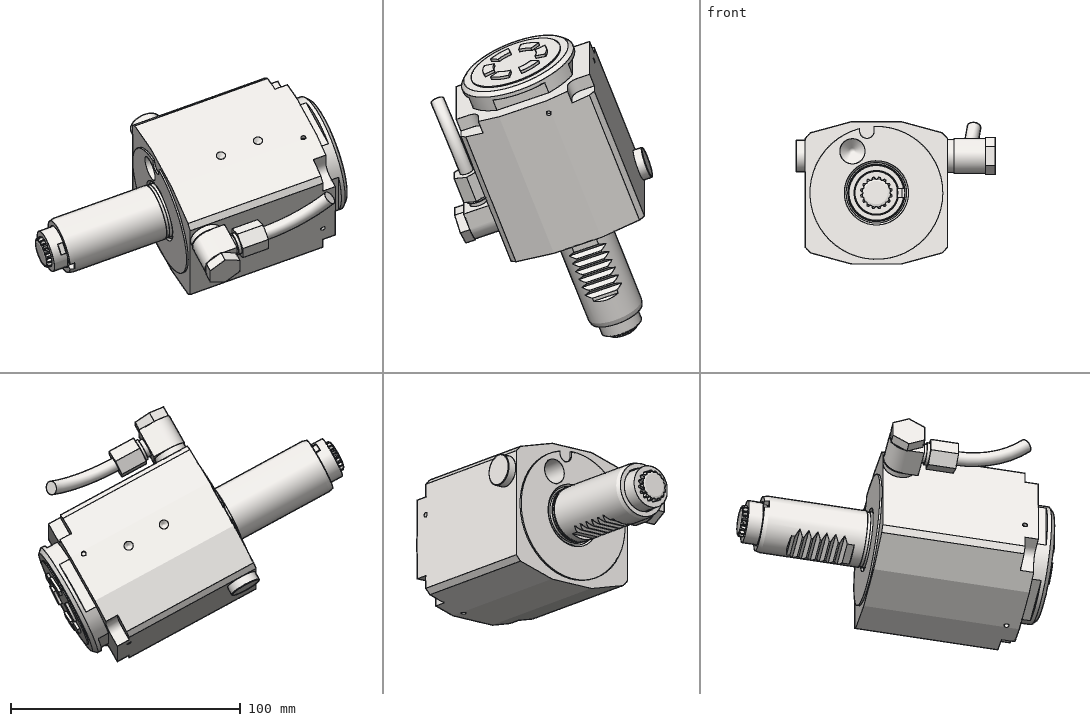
import cadquery as cq
import math


BODY_HALF = 31.0
BODY_LENGTH = 69.1
CREST_HALF = 11.0
SLOPE_END_X, SLOPE_END_Z = 28.7, 26.2
SIDE_HALF = 23.7
CORNER_DEPTH = 5.9
CORNER_FLOOR = 18.0
CORNER_WALL = 20.7
CORNER_RADIUS = 4.7

DISC_RADIUS = 29.0
DISC_THICKNESS = 0.8
NOTCH_WIDTH = 6.3
NOTCH_X = -4.1
NOTCH_BOTTOM = 23.7
BLIND_DIAMETER = 11.0
BLIND_X, BLIND_Z = -10.4, 18.1
BLIND_DEPTH = 13.7
RECESS_OUTER, RECESS_INNER = 14.0, 13.2

CONE_ANGLE = 90.0
DIMPLE_DIAMETER = 4.0
DIMPLES = [(3.4, 44.5), (4.3, 26.5)]
MARK_DIAMETER = 2.0
MARK_DEPTH = 2.0
MARK_OFFSET = 9.9
MARK_Y = 63.2

NECK_RADIUS = 12.1
SHANK_RADIUS = 12.5
SHANK_END_RADIUS = 12.0
SEAL_RADIUS = 12.3
SEAL_END = -1.5
NECK_END = -2.9
SHANK_TAPER = -46.6
SHANK_END = -48.7
RACK_START, RACK_END = -7.5, -36.2
RACK_FLAT = 11.1
RACK_DEPTH = 1.9
RACK_PITCH = 4.0
RACK_FIRST = -12.3
RACK_NOTCHES = 6
RACK_NOTCH_HALF = 1.6
RACK_RUNOUT = 0.8

NOSE_RADIUS = 9.3
NOSE_END = -55.0
NOSE_FLAT = 9.0
BORE_RADIUS = 9.7
BORE_DEPTH = 2.5
KEYWAY_WIDTH = 3.8
KEYWAY_STEP = 11.1
KEYWAY_OUTER_DEPTH = 2.0
KEYWAY_INNER_DEPTH = 4.1
POCKET_WIDTH = 5.0
POCKET_DEPTH = 0.8
POCKET_LENGTH = 2.5
POCKET_ANGLE = 48.0
TIP = -57.6
SPLINE_TEETH = 16
SPLINE_RADIUS = 13.9 / 2
SPLINE_ROOT = 5.9
SPLINE_SHOULDER_RADIUS = 6.2
SPLINE_FACE_RADIUS = 5.1
SPLINE_CHAMFER_START = -56.6
SPLINE_CHAMFER_END = -57.3

FLANGE_RADIUS = 52.0 / 2
FLANGE_CHAMFER = 1.8
FLANGE_BACK = 77.8
FLANGE_STEP_RADIUS = 20.7
FLANGE_FACE = 78.3
FLAT_DISTANCE = 23.0
FLAT_END = 74.2
PAD_COUNT = 6
PAD_INNER, PAD_OUTER = 10.0, 14.8
PAD_HALF_ANGLE = 19.0
PAD_BACK = 79.5

FITTING_Y, FITTING_Z = 7.4, 16.0
CAP_DIAMETER = 13.9
CAP_END = -35.0
CAP_CHAMFER = 0.3
COLLAR_DIAMETER = 14.5
COLLAR_END = 33.9
ELBOW_RADIUS = 7.7
ELBOW_END = 47.5
PLUG_ACROSS_FLATS = 14.1
PLUG_END = 51.8
OUTLET_X = 40.3
OUTLET_DIAMETER = 8.2
OUTLET_RING_DIAMETER = 9.7
RING_START, NUT_START, NUT_END = 17.0, 18.4, 30.6
NUT_ACROSS_FLATS = 11.7

HOSE_DIAMETER = 6.0
HOSE_BEND_RADIUS = 43.5
HOSE_BEND_ANGLE = 45.0
HOSE_LEAN = 10.0

OVERLAP = 1.4


def bar_y(start, end, x=0.0, z=0.0):
    """Workplane at the larger Y, whose normal points to -Y, and the length down to the smaller Y."""
    return cq.Workplane("XZ", origin=(x, max(start, end), z)), abs(end - start)


def cylinder_y(radius, start, end, x=0.0, z=0.0):
    plane, length = bar_y(start, end, x, z)
    return plane.circle(radius).extrude(length)


def cylinder_x(radius, start, end):
    plane = cq.Workplane("YZ", origin=(start, FITTING_Y, FITTING_Z))
    return plane.circle(radius).extrude(end - start)


def revolve_y(profile):
    """Turn a (radius, y) profile around the spindle axis."""
    return cq.Workplane("XY").polyline(profile).close().revolve(360, (0, 0, 0), (0, 1, 0))


def cone_hole(diameter, depth=0.0):
    """Blind hole tool along +Z: straight down to the depth, then a cone to a point."""
    radius = diameter / 2
    cone = radius / math.tan(math.radians(CONE_ANGLE / 2))
    profile = [(0, -OVERLAP), (radius, -OVERLAP), (radius, depth), (0, depth + cone)]
    return cq.Workplane("XZ").polyline(profile).close().revolve(360, (0, 0, 0), (0, 1, 0))


def quarter_turns(shape):
    """Four copies of a shape spaced evenly around the spindle axis."""
    return [shape.rotate((0, 0, 0), (0, 1, 0), 90 * turn) for turn in range(4)]


def hexagon_circle(across_flats):
    return across_flats / math.cos(math.radians(30))


def make_body():
    corner = [
        (CREST_HALF, BODY_HALF),
        (SLOPE_END_X, SLOPE_END_Z),
        (BODY_HALF, SIDE_HALF),
    ]
    right = corner + [(x, -z) for x, z in reversed(corner)]
    left = [(-x, -z) for x, z in right]
    plane, length = bar_y(0, BODY_LENGTH)
    body = plane.polyline(right + left).close().extrude(length)

    plane, length = bar_y(BODY_LENGTH - CORNER_DEPTH, BODY_LENGTH + OVERLAP)
    outside = 2 * BODY_HALF
    corner_cut = (
        plane.moveTo(CORNER_WALL, outside)
        .lineTo(CORNER_WALL, CORNER_FLOOR + CORNER_RADIUS)
        .radiusArc((CORNER_WALL + CORNER_RADIUS, CORNER_FLOOR), -CORNER_RADIUS)
        .lineTo(outside, CORNER_FLOOR)
        .lineTo(outside, outside)
        .close()
        .extrude(length)
    )
    mirrored = corner_cut.mirror("YZ")
    for tool in (corner_cut, mirrored, corner_cut.mirror("XY"), mirrored.mirror("XY")):
        body = body.cut(tool)
    return body


def make_front_disc():
    disc = cylinder_y(DISC_RADIUS, OVERLAP, -DISC_THICKNESS)
    plane, length = bar_y(0, -DISC_THICKNESS - OVERLAP, NOTCH_X)
    radius = NOTCH_WIDTH / 2
    center_z = NOTCH_BOTTOM + radius
    notch = (
        plane.moveTo(-radius, DISC_RADIUS + OVERLAP)
        .lineTo(-radius, center_z)
        .threePointArc((0, NOTCH_BOTTOM), (radius, center_z))
        .lineTo(radius, DISC_RADIUS + OVERLAP)
        .close()
        .extrude(length)
    )
    return disc.cut(notch)


def cut_holes(part):
    for x, y in DIMPLES:
        dimple = cone_hole(DIMPLE_DIAMETER).rotate((0, 0, 0), (1, 0, 0), 180)
        part = part.cut(dimple.translate((x, y, BODY_HALF)))
    mark = cq.Workplane("XY", origin=(MARK_OFFSET, MARK_Y, BODY_HALF - MARK_DEPTH))
    mark = mark.circle(MARK_DIAMETER / 2).extrude(MARK_DEPTH + OVERLAP)
    for tool in quarter_turns(mark):
        part = part.cut(tool)
    blind = cone_hole(BLIND_DIAMETER, BLIND_DEPTH).rotate((0, 0, 0), (1, 0, 0), -90)
    part = part.cut(blind.translate((BLIND_X, -DISC_THICKNESS, BLIND_Z)))
    recess = revolve_y([
        (SEAL_RADIUS, 0),
        (RECESS_INNER, 0),
        (RECESS_OUTER, -DISC_THICKNESS),
        (SEAL_RADIUS, -DISC_THICKNESS),
    ])
    return part.cut(recess)


def make_shank():
    shank = revolve_y([
        (0, OVERLAP),
        (SEAL_RADIUS, OVERLAP),
        (SEAL_RADIUS, SEAL_END),
        (NECK_RADIUS, SEAL_END),
        (NECK_RADIUS, NECK_END),
        (SHANK_RADIUS, NECK_END),
        (SHANK_RADIUS, SHANK_TAPER),
        (SHANK_END_RADIUS, SHANK_END),
        (0, SHANK_END),
    ])
    outline = [(RACK_START, -SHANK_RADIUS - OVERLAP), (RACK_START, -RACK_FLAT)]
    for index in range(RACK_NOTCHES):
        y = RACK_FIRST - index * RACK_PITCH
        outline.append((y + RACK_NOTCH_HALF, -RACK_FLAT))
        outline.append((y, -RACK_FLAT + RACK_DEPTH))
        outline.append((y - RACK_NOTCH_HALF, -RACK_FLAT))
    outline += [
        (RACK_END + RACK_RUNOUT, -RACK_FLAT),
        (RACK_END, -SHANK_RADIUS),
        (RACK_END, -SHANK_RADIUS - OVERLAP),
    ]
    rack = cq.Workplane("YZ").polyline(outline).close().extrude(SHANK_RADIUS + OVERLAP, both=True)
    shank = shank.cut(rack)

    bore = cylinder_y(BORE_RADIUS, SHANK_END + BORE_DEPTH, SHANK_END - OVERLAP)
    shank = shank.cut(bore)
    keyway_steps = [
        (SHANK_RADIUS + OVERLAP, KEYWAY_OUTER_DEPTH),
        (KEYWAY_STEP, KEYWAY_INNER_DEPTH),
    ]
    for outer_x, depth in keyway_steps:
        slot = cq.Workplane("XY").box(
            outer_x - NOSE_FLAT, depth + OVERLAP, KEYWAY_WIDTH, centered=(False, False, True)
        )
        shank = shank.cut(slot.translate((NOSE_FLAT, SHANK_END - OVERLAP, 0)))
    return shank


def make_nose():
    nose = cylinder_y(NOSE_RADIUS, SHANK_TAPER + OVERLAP, NOSE_END)
    length = SHANK_END - NOSE_END
    flat = cq.Workplane("XY").box(OVERLAP, length, 2 * NOSE_RADIUS, centered=(False, False, True))
    nose = nose.cut(flat.translate((NOSE_FLAT, NOSE_END, 0)))
    pocket = cq.Workplane("XY").box(
        POCKET_DEPTH + OVERLAP, POCKET_LENGTH, POCKET_WIDTH, centered=(False, False, True)
    )
    pocket = pocket.translate((NOSE_RADIUS - POCKET_DEPTH, SHANK_END - POCKET_LENGTH, 0))
    return nose.cut(pocket.rotate((0, 0, 0), (0, 1, 0), -POCKET_ANGLE))


def make_spline():
    step = 2 * math.pi / SPLINE_TEETH
    tooth = [(0.1, SPLINE_ROOT), (0.38, SPLINE_RADIUS), (0.62, SPLINE_RADIUS), (0.9, SPLINE_ROOT)]
    outline = []
    for index in range(SPLINE_TEETH):
        for fraction, radius in tooth:
            angle = (index + fraction) * step
            outline.append((radius * math.cos(angle), radius * math.sin(angle)))
    start = NOSE_END + OVERLAP
    plane, length = bar_y(start, TIP)
    spline = plane.polyline(outline).close().extrude(length)
    envelope = revolve_y([
        (0, start),
        (SPLINE_RADIUS, start),
        (SPLINE_RADIUS, SPLINE_CHAMFER_START),
        (SPLINE_SHOULDER_RADIUS, SPLINE_CHAMFER_END),
        (SPLINE_FACE_RADIUS, TIP),
        (0, TIP),
    ])
    return spline.intersect(envelope)


def make_flange():
    flange = revolve_y([
        (0, BODY_LENGTH - OVERLAP),
        (FLAT_DISTANCE, BODY_LENGTH - OVERLAP),
        (FLAT_DISTANCE, BODY_LENGTH),
        (FLANGE_RADIUS, BODY_LENGTH),
        (FLANGE_RADIUS, FLANGE_BACK - FLANGE_CHAMFER),
        (FLANGE_RADIUS - FLANGE_CHAMFER, FLANGE_BACK),
        (FLANGE_STEP_RADIUS, FLANGE_BACK),
        (FLANGE_STEP_RADIUS, FLANGE_FACE),
        (0, FLANGE_FACE),
    ])
    flat = cq.Workplane("XY").box(
        2 * FLANGE_RADIUS, FLAT_END - BODY_LENGTH, FLANGE_RADIUS, centered=(True, False, False)
    )
    for tool in quarter_turns(flat.translate((0, BODY_LENGTH, FLAT_DISTANCE))):
        flange = flange.cut(tool)

    half = math.radians(PAD_HALF_ANGLE)
    cos_half, sin_half = math.cos(half), math.sin(half)
    plane, length = bar_y(FLANGE_BACK, PAD_BACK)
    pad = (
        plane.moveTo(PAD_INNER * cos_half, -PAD_INNER * sin_half)
        .lineTo(PAD_OUTER * cos_half, -PAD_OUTER * sin_half)
        .threePointArc((PAD_OUTER, 0), (PAD_OUTER * cos_half, PAD_OUTER * sin_half))
        .lineTo(PAD_INNER * cos_half, PAD_INNER * sin_half)
        .threePointArc((PAD_INNER, 0), (PAD_INNER * cos_half, -PAD_INNER * sin_half))
        .close()
        .extrude(length)
    )
    for index in range(PAD_COUNT):
        flange = flange.union(pad.rotate((0, 0, 0), (0, 1, 0), index * 360 / PAD_COUNT))
    return flange


def make_cap():
    cap = cylinder_x(CAP_DIAMETER / 2, CAP_END, -BODY_HALF + OVERLAP)
    return cap.faces("<X").chamfer(CAP_CHAMFER)


def make_elbow():
    elbow = cylinder_x(COLLAR_DIAMETER / 2, BODY_HALF - OVERLAP, COLLAR_END)
    elbow = elbow.union(cylinder_x(ELBOW_RADIUS, COLLAR_END, ELBOW_END))
    block = cq.Workplane("XY").box(
        ELBOW_END - COLLAR_END, ELBOW_RADIUS, 2 * ELBOW_RADIUS, centered=(False, False, True)
    )
    elbow = elbow.union(block.translate((COLLAR_END, FITTING_Y, FITTING_Z)))
    plug = (
        cq.Workplane("YZ", origin=(ELBOW_END, FITTING_Y, FITTING_Z))
        .transformed(rotate=(0, 0, 90))
        .polygon(6, hexagon_circle(PLUG_ACROSS_FLATS))
        .extrude(PLUG_END - ELBOW_END)
    )
    elbow = elbow.union(plug)
    elbow = elbow.union(cylinder_y(OUTLET_DIAMETER / 2, FITTING_Y, RING_START, OUTLET_X, FITTING_Z))
    ring = cylinder_y(OUTLET_RING_DIAMETER / 2, RING_START, NUT_START, OUTLET_X, FITTING_Z)
    elbow = elbow.union(ring)
    plane, length = bar_y(NUT_START, NUT_END, OUTLET_X, FITTING_Z)
    nut = plane.transformed(rotate=(0, 0, 90)).polygon(6, hexagon_circle(NUT_ACROSS_FLATS))
    return elbow.union(nut.extrude(length))


def make_hose():
    """Hose arc rising from the nut, leaned sideways about the outlet axis."""
    hose = (
        cq.Workplane("XZ")
        .circle(HOSE_DIAMETER / 2)
        .revolve(HOSE_BEND_ANGLE, (-1.4, HOSE_BEND_RADIUS), (1.4, HOSE_BEND_RADIUS))
    )
    hose = hose.rotate((0, 0, 0), (0, 1, 0), HOSE_LEAN)
    return hose.translate((OUTLET_X, NUT_END, FITTING_Z))


result = make_body().union(make_front_disc())
result = cut_holes(result)
for feature in (
    make_shank(),
    make_nose(),
    make_spline(),
    make_flange(),
    make_cap(),
    make_elbow(),
    make_hose(),
):
    result = result.union(feature)